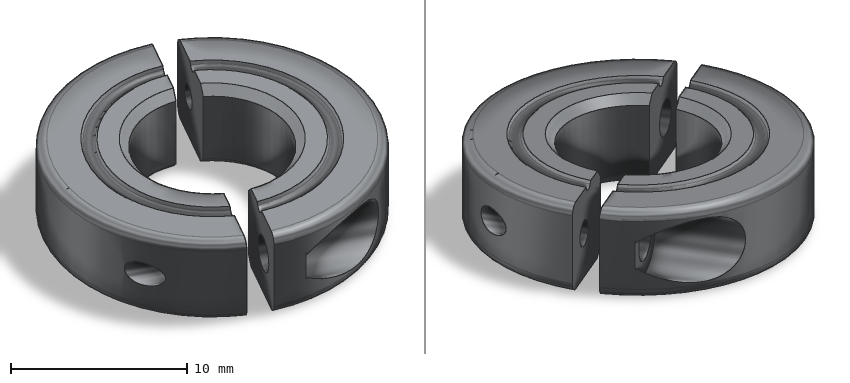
import cadquery as cq

outer_radius = 10.0
bore_radius = 4.75
width = 5.5
half_width = width / 2
split_gap = 1.6
rim_fillet = 0.6
bore_chamfer = 0.55

groove_outer_radius = 7.45
groove_inner_radius = 6.55
groove_center_radius = (groove_outer_radius + groove_inner_radius) / 2
groove_half_width = (groove_outer_radius - groove_inner_radius) / 2
groove_wall_inset = 0.12
groove_wall_depth = 0.18
groove_depth = 0.35

screw_offset = 7.75
thread_diameter = 1.58
clearance_diameter = 2.25
counterbore_diameter = 4.0
counterbore_floor = 2.8


def make_ring():
    """Full ring centred on the origin, with rounded rims and chamfered bore."""
    ring = (
        cq.Workplane("XY")
        .circle(outer_radius)
        .circle(bore_radius)
        .extrude(half_width, both=True)
    )
    ring = ring.edges(cq.selectors.RadiusNthSelector(0)).chamfer(bore_chamfer)
    return ring.edges(cq.selectors.RadiusNthSelector(-1)).fillet(rim_fillet)


def make_groove():
    """Ring that cuts the groove: two sloping walls joined by an arc."""
    arc_half_width = groove_half_width - groove_wall_inset
    wall_foot = half_width - groove_wall_depth
    return (
        cq.Workplane("XZ")
        .moveTo(groove_inner_radius, half_width)
        .lineTo(groove_center_radius - arc_half_width, wall_foot)
        .threePointArc(
            (groove_center_radius, half_width - groove_depth),
            (groove_center_radius + arc_half_width, wall_foot),
        )
        .lineTo(groove_outer_radius, half_width)
        .close()
        .revolve(360, (0, 0, 0), (0, 1, 0))
    )


def make_front_cylinder(x, diameter, start):
    """Cylinder along -Y that begins at distance start from the ring axis."""
    return (
        cq.Workplane("XZ", origin=(0, -start, 0))
        .center(x, 0)
        .circle(diameter / 2)
        .extrude(outer_radius - start)
    )


def make_front_half():
    """Half on the -Y side: screw seat at -X, threaded hole at +X."""
    front_depth = outer_radius - split_gap / 2
    front_block = (
        cq.Workplane("XY")
        .box(2 * outer_radius, front_depth, width, centered=(True, False, True))
        .translate((0, -outer_radius, 0))
    )
    half = make_ring().cut(make_groove()).intersect(front_block)
    half = half.cut(make_front_cylinder(-screw_offset, clearance_diameter, 0))
    half = half.cut(make_front_cylinder(-screw_offset, counterbore_diameter, counterbore_floor))
    return half.cut(make_front_cylinder(screw_offset, thread_diameter, 0))


def make_collar_half(angle):
    """Clamp half turned about the ring axis."""
    return make_front_half().rotate((0, 0, 0), (0, 0, 1), angle)


collar_halves = [make_collar_half(angle) for angle in (0, 180)]

result = cq.Compound.makeCompound([half.val() for half in collar_halves])